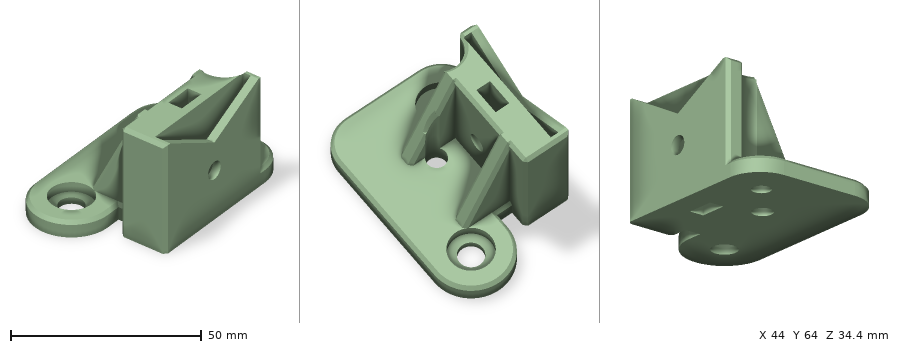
import cadquery as cq

edge_chamfer = 1.0
plate_width = 44.0
plate_length = 64.0
plate_thickness = 5.0
corner_radius = 10.0
lug_radius = 12.0
plate_step_y = 16.65
total_height = 34.4

middle_y = 32.0
block_x = 29.0
block_width = plate_width - block_x
block_length = 42.0

rib_width = 5.0
rib_offset = 11.9
rib_foot_x = 14.1

counterbore_diameter = 13.0
counterbore_depth = 3.0
lug_hole_diameter = 7.5
screw_diameter = 5.5
corner_hole_x = 32.0
corner_hole_y = 52.1

access_x = 21.45
access_y = 39.55
access_diameter = 6.0

pocket_x = 32.0
pocket_width = 4.5
pocket_length = 8.4
screw_height = 15.6

slot_x = 39.0
slot_width = 2.5
slot_length = 38.0
notch_depth = 10.0


def make_plate():
    """Mounting plate with a round lug at its lower left and a chamfered top edge."""
    lug_right = 2 * lug_radius
    outline = (
        cq.Workplane("XY")
        .moveTo(0, lug_radius)
        .lineTo(0, plate_length - corner_radius)
        .radiusArc((corner_radius, plate_length), corner_radius)
        .lineTo(plate_width - corner_radius, plate_length)
        .radiusArc((plate_width, plate_length - corner_radius), corner_radius)
        .lineTo(plate_width, plate_step_y)
        .lineTo(lug_right, plate_step_y)
        .lineTo(lug_right, lug_radius)
        .threePointArc((lug_radius, 0), (0, lug_radius))
        .close()
    )
    return outline.extrude(plate_thickness).faces(">Z").chamfer(edge_chamfer)


def make_block():
    """Upright block, chamfered all round except along the top of its +X face."""
    block = cq.Workplane("XY").box(
        block_width, block_length, total_height, centered=(False, True, False)
    )
    block = block.edges("|Z or (>Z and (not >X))").chamfer(edge_chamfer)
    return block.translate((block_x, middle_y, 0))


def make_rib(center_y):
    """Sloping rib from the plate to the top of the block, chamfered along both sides."""
    overlap_x = block_x + 2 * edge_chamfer
    rib = (
        cq.Workplane("XZ", origin=(0, center_y, 0))
        .moveTo(rib_foot_x, plate_thickness)
        .lineTo(block_x, total_height)
        .lineTo(overlap_x, total_height)
        .lineTo(overlap_x, plate_thickness)
        .close()
        .extrude(rib_width / 2, both=True)
    )
    sloped_sides = "(>Y or <Y) and (not >X) and (not <Z)"
    return rib.edges(sloped_sides).chamfer(edge_chamfer)


def make_counterbored_hole(x, y, diameter):
    """Cutter for a vertical screw hole with head clearance up through the part."""
    hole = cq.Workplane("XY").center(x, y).circle(diameter / 2).extrude(plate_thickness)
    head = (
        cq.Workplane("XY", origin=(x, y, plate_thickness - counterbore_depth))
        .circle(counterbore_diameter / 2)
        .extrude(total_height)
    )
    return hole.union(head)


def make_head_clearance_chamfer():
    """Conical cutter that chamfers the screw-head clearance at the top of the block."""
    radius = counterbore_diameter / 2
    return cq.Workplane(
        cq.Solid.makeCone(
            radius,
            radius + edge_chamfer,
            edge_chamfer,
            pnt=cq.Vector(corner_hole_x, corner_hole_y, total_height - edge_chamfer),
        )
    )


def make_plate_slot():
    """Cutter for the upright slot behind the +X wall, and the V notch in that wall."""
    slot = (
        cq.Workplane("XY", origin=(slot_x, middle_y, plate_thickness))
        .rect(slot_width, slot_length)
        .extrude(total_height)
        .translate((slot_width / 2, 0, 0))
    )
    notch = (
        cq.Workplane("YZ", origin=(slot_x, middle_y, total_height))
        .moveTo(-slot_length / 2, 0)
        .lineTo(0, -notch_depth)
        .lineTo(slot_length / 2, 0)
        .close()
        .extrude(plate_width - slot_x)
    )
    return slot.union(notch)


body = make_plate().union(make_block())
for side in (-1, 1):
    body = body.union(make_rib(middle_y + side * rib_offset))

access_hole = (
    cq.Workplane("XY").center(access_x, access_y).circle(access_diameter / 2).extrude(total_height)
)
body = body.cut(access_hole)
slope_middle_z = (plate_thickness + total_height) / 2
slope_edge = cq.selectors.NearestToPointSelector(
    (access_x, access_y + access_diameter / 2, slope_middle_z)
)
body = body.edges(slope_edge).chamfer(edge_chamfer)

body = body.cut(make_counterbored_hole(lug_radius, lug_radius, lug_hole_diameter))
body = body.cut(make_counterbored_hole(corner_hole_x, corner_hole_y, screw_diameter))

clearance_corner = cq.selectors.NearestToPointSelector(
    (corner_hole_x + counterbore_diameter / 2, middle_y + block_length / 2, slope_middle_z)
)
body = body.edges(clearance_corner).chamfer(edge_chamfer)
body = body.cut(make_head_clearance_chamfer())

pocket = (
    cq.Workplane("XY")
    .center(pocket_x + pocket_width / 2, middle_y)
    .rect(pocket_width, pocket_length)
    .extrude(total_height)
)
body = body.cut(pocket)

screw_hole = (
    cq.Workplane("YZ", origin=(block_x, middle_y, screw_height))
    .circle(screw_diameter / 2)
    .extrude(block_width)
)
body = body.cut(screw_hole)

result = body.cut(make_plate_slot())